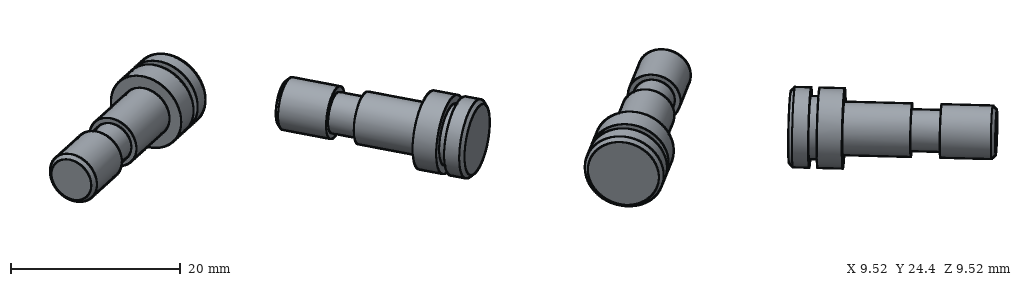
import cadquery as cq

total_length = 24.35

head_diameter = 9.52
head_length = 6.35
head_groove_diameter = 7.5
head_groove_width = 1.0
head_rim_length = 2.39

shank_diameter = 6.35
neck_diameter = 5.0
neck_start = 6.53
neck_length = 3.48

end_chamfer = 0.49


def cylinder(diameter, start, length):
    """Solid cylinder on the Y axis, running from y = start towards +Y."""
    return (
        cq.Workplane("XZ", origin=(0, start, 0))
        .circle(diameter / 2)
        .extrude(-length)
    )


def ring_groove(outer_diameter, floor_diameter, start, length):
    """Ring of material to cut away, leaving floor_diameter."""
    outer = cylinder(outer_diameter, start, length)
    return outer.cut(cylinder(floor_diameter, start, length))


shank_length = total_length - head_length
shank = cylinder(shank_diameter, 0, shank_length).faces("<Y").edges().chamfer(end_chamfer)
head = cylinder(head_diameter, shank_length, head_length).faces(">Y").edges().chamfer(end_chamfer)

neck = ring_groove(shank_diameter, neck_diameter, neck_start, neck_length)
head_groove_start = total_length - head_rim_length - head_groove_width
head_groove = ring_groove(
    head_diameter, head_groove_diameter, head_groove_start, head_groove_width
)

result = shank.union(head).cut(neck).cut(head_groove)